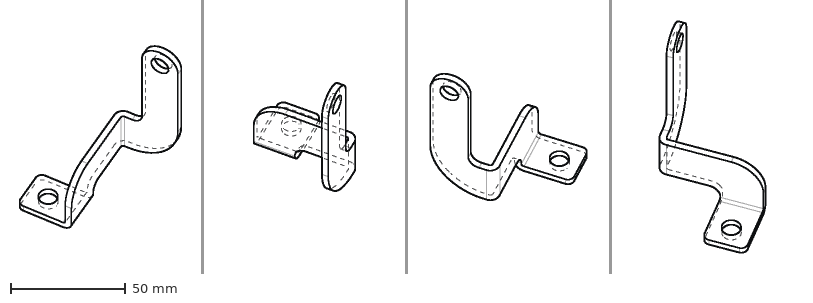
import cadquery as cq
import math

length = 55.0
depth = 49.45
height = 83.1

thickness = 3.15
inner_bend = 1.25
outer_bend = inner_bend + thickness

strip_width = 20.0
web_face = 27.1
web_bottom = 10.05
web_top = web_bottom + strip_width
web_corner = 14.95
inside_corner = 5.0

foot_corner = 3.0
foot_hole_x = 10.0
hole_diameter = 8.6
arm_width = 18.0
arm_end = arm_width / 2
arm_left = length - arm_width
arm_corner = 25.0


def bend_profile(plane, corner, ends, leg_directions):
    """L-shaped sheet section: sharp outer corner, leg ends, sign of each leg direction."""
    corner_u, corner_v = corner
    end_u, end_v = ends
    sign_u, sign_v = leg_directions
    inner_u = corner_u + sign_u * thickness
    inner_v = corner_v + sign_v * thickness
    setback = 1 - math.sqrt(0.5)

    def arc_point(radius, u, v):
        return (u + sign_u * radius * setback, v + sign_v * radius * setback)

    return (
        cq.Workplane(plane)
        .moveTo(end_u, corner_v)
        .lineTo(corner_u + sign_u * outer_bend, corner_v)
        .threePointArc(
            arc_point(outer_bend, corner_u, corner_v),
            (corner_u, corner_v + sign_v * outer_bend),
        )
        .lineTo(corner_u, end_v)
        .lineTo(inner_u, end_v)
        .lineTo(inner_u, inner_v + sign_v * inner_bend)
        .threePointArc(
            arc_point(inner_bend, inner_u, inner_v),
            (inner_u + sign_u * inner_bend, inner_v),
        )
        .lineTo(end_u, inner_v)
        .close()
    )


foot_section = bend_profile("XZ", (web_face, 0), (0, height), (-1, 1)).extrude(-depth)
arm_section = bend_profile(
    "XY", (web_face - thickness, depth), (length, 0), (1, -1)
).extrude(height)

web_outline = (
    cq.Workplane("YZ")
    .lineTo(strip_width, 0)
    .lineTo(strip_width, web_bottom - inside_corner)
    .radiusArc((strip_width + inside_corner, web_bottom), inside_corner)
    .lineTo(depth, web_bottom)
    .lineTo(depth, web_top)
    .lineTo(web_corner, web_top)
    .radiusArc((0, web_top - web_corner), -web_corner)
    .close()
    .extrude(web_face)
)

arm_outline = (
    cq.Workplane("XZ")
    .moveTo(web_face - thickness, web_bottom)
    .lineTo(length - arm_corner, web_bottom)
    .radiusArc((length, web_bottom + arm_corner), -arm_corner)
    .lineTo(length, height - arm_end)
    .threePointArc((length - arm_end, height), (arm_left, height - arm_end))
    .lineTo(arm_left, web_top + inside_corner)
    .radiusArc((arm_left - inside_corner, web_top), inside_corner)
    .lineTo(web_face - thickness, web_top)
    .close()
    .extrude(-depth)
)

bend_start = depth - outer_bend
foot_and_web = foot_section.intersect(web_outline).intersect(
    cq.Workplane().box(length, bend_start, height, centered=False)
)
foot_and_web = foot_and_web.edges("|Z and <X").fillet(foot_corner)
arm = arm_section.intersect(arm_outline).intersect(
    cq.Workplane().box(length, outer_bend, height, centered=False).translate((0, bend_start, 0))
)

foot_hole = (
    cq.Workplane()
    .center(foot_hole_x, strip_width / 2)
    .circle(hole_diameter / 2)
    .extrude(thickness)
)
arm_hole = (
    cq.Workplane("XZ")
    .center(length - arm_end, height - arm_end)
    .circle(hole_diameter / 2)
    .extrude(-depth)
)

result = foot_and_web.union(arm).cut(foot_hole).cut(arm_hole)